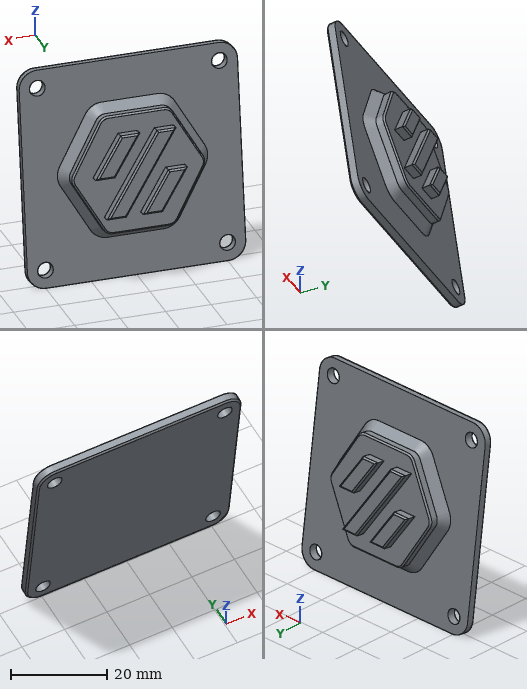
import cadquery as cq
import math

tilt = 7.5
plate_size = 48.0
plate_thickness = 2.0
plate_corner_radius = 4.0
edge_chamfer = 0.4
hole_diameter = 3.4
hole_spacing = plate_size - 2 * plate_corner_radius

skirt_height = 2.0
cap_height = 2.0
cap_half_width = 12.95
cap_corner_radius = 2.4
skirt_flare = 1.9

bar_height = 2.2
bar_width = 4.2
bar_half_span = 9.0
long_bar_reach = 7.95
bar_chamfer = 0.4
OVERLAP = 0.25


def rounded_hexagon(workplane, half_width, corner_radius):
    """Hexagon wire with corners on the X axis and half_width from centre to flat."""
    core_radius = (half_width - corner_radius) / math.cos(math.radians(30))
    return workplane.polygon(6, 2 * core_radius).offset2D(corner_radius)


def make_plate():
    plate = cq.Workplane("XY").box(
        plate_size, plate_size, plate_thickness, centered=(True, True, False)
    )
    plate = plate.translate((0, 0, -plate_thickness))
    plate = plate.edges("|Z").fillet(plate_corner_radius)
    plate = plate.faces("<Z").chamfer(edge_chamfer)
    return (
        plate.faces(">Z").workplane(origin=(0, 0, 0))
        .rect(hole_spacing, hole_spacing, forConstruction=True)
        .vertices().hole(hole_diameter)
    )


def make_boss():
    base = cq.Workplane("XY")
    foot = rounded_hexagon(base, cap_half_width + skirt_flare, cap_corner_radius + skirt_flare)
    skirt = foot.extrude(skirt_height, taper=math.degrees(math.atan(skirt_flare / skirt_height)))
    cap = rounded_hexagon(base.workplane(offset=skirt_height), cap_half_width, cap_corner_radius)
    cap = cap.extrude(cap_height).faces(">Z").chamfer(edge_chamfer)
    return skirt.union(cap)


def make_bar(start, end):
    """Slanted bar; start and end are its left corners."""
    bar = (
        cq.Workplane("XY", origin=(0, 0, skirt_height + cap_height - OVERLAP))
        .polyline([
            start,
            (start[0] + bar_width, start[1]),
            (end[0] + bar_width, end[1]),
            end,
        ])
        .close().extrude(bar_height + OVERLAP)
    )
    return bar.faces(">Z").chamfer(bar_chamfer)


long_start = (-long_bar_reach, -bar_half_span)
long_end = (long_bar_reach - bar_width, bar_half_span)
half_shift = (long_end[0] - long_start[0]) / 2
long_bar = make_bar(long_start, long_end)
short_bar = make_bar((0, -bar_half_span), (half_shift, 0))
opposite_bar = short_bar.rotate((0, 0, 0), (0, 0, 1), 180)

result = make_plate().union(make_boss())
for bar in (long_bar, short_bar, opposite_bar):
    result = result.union(bar)

result = result.rotate((0, 0, 0), (1, 0, 0), -90 + tilt)